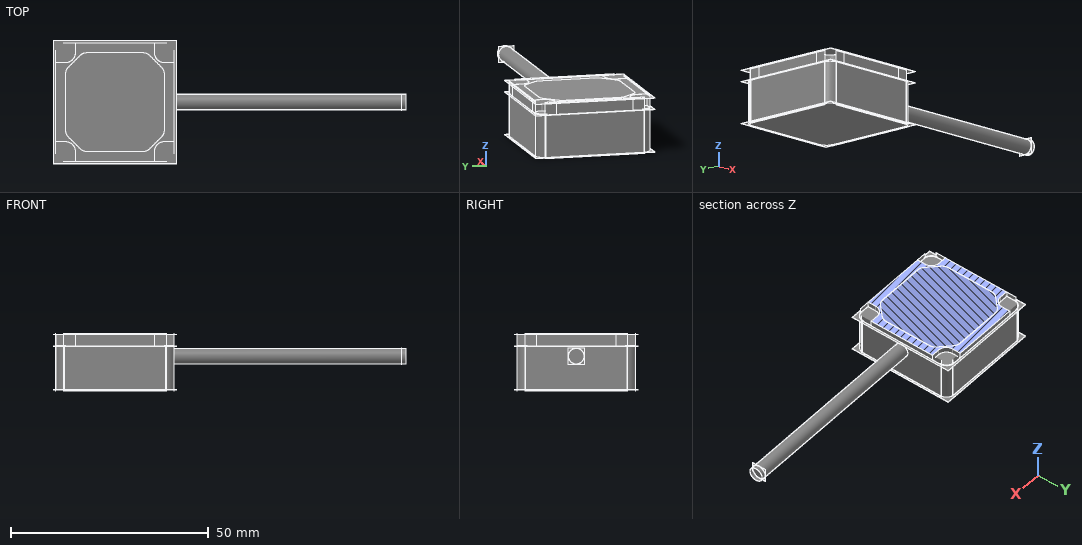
import cadquery as cq

side = 30.0
height = 14.0
corner_radius = 2.5

notch_side = 5.0
notch_radius = 2.5
notch_floor = 11.0

cavity_side = 25.0
cavity_corner_cut = 4.4
cavity_corner_radius = 2.5
cavity_floor = 2.0

cable_radius = 2.0
cable_height = 8.5
cable_length = 60.0
cable_start = cavity_side / 2
cable_end = cable_start + cable_length

overrun = 0.02
sheet = 0.02
top_sheet_drop = 0.01
flange_side = side * (1 + 2 * overrun)
flat_width = side - 2 * corner_radius
panel_width = flat_width * (1 + 2 * overrun)
panel_height = height * (1 + 2 * overrun)
panel_bottom = -height * overrun
collar_height = notch_floor * overrun
cable_plate_side = 2 * cable_radius * (1 + 2 * overrun)
sleeve_length = cable_length * overrun

CORNERS = [(sx, sy) for sx in (-1, 1) for sy in (-1, 1)]


def block(width, depth, bottom, tall):
    """Box centred on the Z axis and standing on the given height."""
    return cq.Workplane("XY", origin=(0, 0, bottom)).rect(width, depth).extrude(tall)


def corner_notches():
    """Square pockets over the four corners, each with a rounded inner corner."""
    pocket_side = 2 * notch_side
    centres = [(sx * side / 2, sy * side / 2) for sx, sy in CORNERS]
    return (
        cq.Workplane("XY", origin=(0, 0, notch_floor))
        .pushPoints(centres)
        .rect(pocket_side, pocket_side)
        .extrude(height - notch_floor)
        .edges("|Z")
        .fillet(notch_radius)
    )


def corner_collars():
    """Thin rims that carry the rounded corners a little above the notch floors."""
    rim = block(side, side, notch_floor, collar_height).edges("|Z").fillet(corner_radius)
    inner_side = side - 2 * sheet
    inner = block(inner_side, inner_side, notch_floor, collar_height)
    inner = inner.edges("|Z").fillet(corner_radius - sheet)
    return rim.cut(inner)


def side_panels():
    """Thin upright sheets in the four side faces, proud of the top and bottom."""
    slab_x = block(side, panel_width, panel_bottom, panel_height)
    slab_y = block(panel_width, side, panel_bottom, panel_height)
    core_side = side - 2 * sheet
    across_x = slab_x.cut(block(core_side, side, panel_bottom, panel_height))
    across_y = slab_y.cut(block(side, core_side, panel_bottom, panel_height))
    return across_x.union(across_y)


def make_potting():
    """Octagonal filling with rounded corners, flush with the top of the housing."""
    return (
        block(cavity_side, cavity_side, cavity_floor, height - cavity_floor)
        .edges("|Z")
        .chamfer(cavity_corner_cut)
        .edges("|Z")
        .fillet(cavity_corner_radius)
    )


def make_cable():
    """Round cable with a thin square plate and a thin open sleeve at its far end."""
    axis = cq.Workplane("YZ", origin=(cable_start, 0, cable_height))
    end = cq.Workplane("YZ", origin=(cable_end, 0, cable_height))
    core = axis.circle(cable_radius).extrude(cable_length)
    plate = end.rect(cable_plate_side, cable_plate_side).extrude(-sheet)
    sleeve = end.circle(cable_radius).circle(cable_radius - sheet).extrude(sleeve_length)
    return core.union(plate).union(sleeve)


def make_housing(potting, cable):
    """Notched block with its thin sheets, hollowed for the potting and the cable."""
    body = block(side, side, 0, height).edges("|Z").fillet(corner_radius)
    body = body.cut(corner_notches())
    flange_bottoms = (0, notch_floor, height - top_sheet_drop - sheet)
    for bottom in flange_bottoms:
        body = body.union(block(flange_side, flange_side, bottom, sheet))
    body = body.union(side_panels()).union(corner_collars())
    return body.cut(potting).cut(cable)


potting = make_potting()
cable = make_cable()
housing = make_housing(potting, cable)

result = cq.Compound.makeCompound([housing.val(), potting.val(), cable.val()])